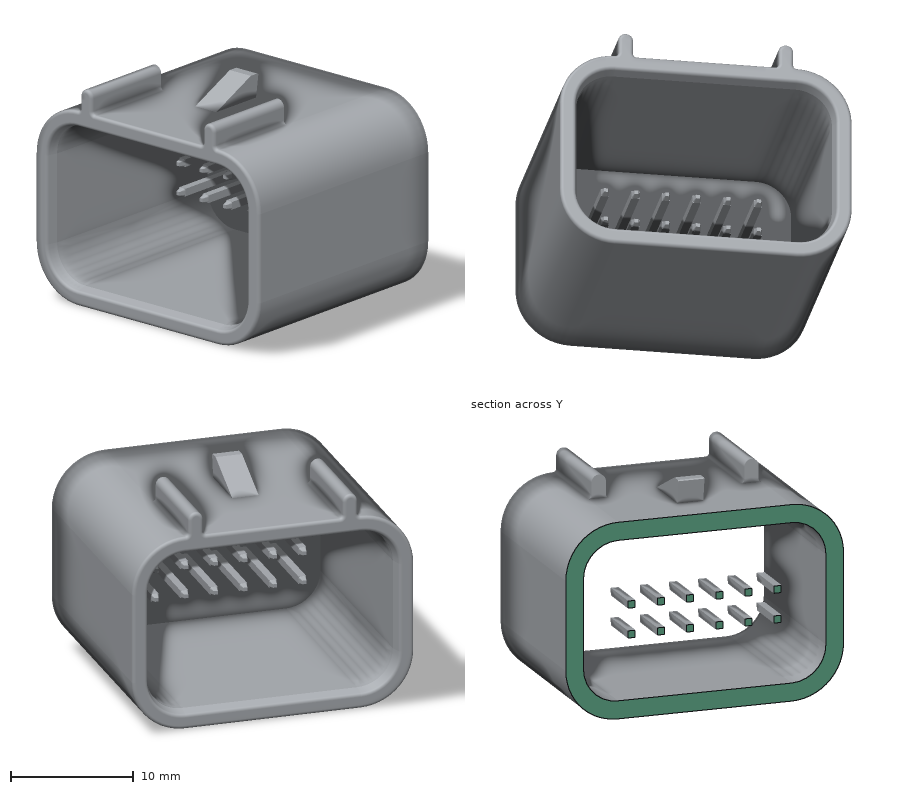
import cadquery as cq
import math


WIDTH = 24.08
DEPTH = 21.0
HEIGHT = 16.69
CORNER_RADIUS = 4.53
EDGE_RADIUS = 0.3

WALL = 1.5
LEAD_IN_DEPTH = 0.99
LEAD_IN_ANGLE = 15.5
CAVITY_DRAFT = 0.3
FLOOR_THICKNESS = WALL

TOP_FEATURE_HEIGHT = 2.02

RIB_WIDTH = 1.23
RIB_LENGTH = 8.65

LATCH_WIDTH = 2.26
LATCH_RAMP_START = 7.27
LATCH_RAMP_END = 11.55
LATCH_TIP = 12.5
LATCH_HEEL = 12.2
LATCH_BEVEL_LENGTH = 0.15
LATCH_BEVEL_DROP = 0.07

PIN_COLUMNS = 6
PIN_ROWS = 2
PIN_PITCH = 2.53
PIN_SIZE = 0.65
PIN_LENGTH = 8.43
PIN_TIP_INSET = 0.17
PIN_TIP_ANGLE = 16.7

TOP = HEIGHT / 2
RIB_X = WIDTH / 2 - CORNER_RADIUS - EDGE_RADIUS - RIB_WIDTH / 2
CAVITY_DEPTH = DEPTH - FLOOR_THICKNESS
OVERLAP = 0.25


def plane_at(y):
    """XZ plane at depth y, extruding toward +Y; local x is -X, local y is Z."""
    return cq.Workplane(cq.Plane(origin=(0, y, 0), xDir=(-1, 0, 0), normal=(0, 1, 0)))


def rounded_prism(y, inset, length, taper=0.0):
    """Block running back from y, its outline the shell's moved inward by inset."""
    outline = cq.Sketch().rect(WIDTH - 2 * inset, HEIGHT - 2 * inset)
    outline = outline.vertices().fillet(CORNER_RADIUS - inset)
    return plane_at(y).placeSketch(outline).extrude(length, taper=taper)


def guide_rib(x):
    """Round-topped rib with filleted roots blending into the flat top."""
    half = RIB_WIDTH / 2
    foot = half + EDGE_RADIUS
    root = TOP + EDGE_RADIUS
    shoulder = TOP + TOP_FEATURE_HEIGHT - half
    blend = EDGE_RADIUS * (1 - math.sqrt(0.5))
    profile = (
        plane_at(0)
        .center(-x, 0)
        .moveTo(-foot, TOP - OVERLAP)
        .lineTo(-foot, TOP)
        .threePointArc((-half - blend, TOP + blend), (-half, root))
        .lineTo(-half, shoulder)
        .threePointArc((0, shoulder + half), (half, shoulder))
        .lineTo(half, root)
        .threePointArc((half + blend, TOP + blend), (foot, TOP))
        .lineTo(foot, TOP - OVERLAP)
        .close()
    )
    return profile.extrude(RIB_LENGTH)


def latch():
    """Ramp rising away from the mouth to a flat crest with a bevelled tip and an undercut back."""
    crest = TOP + TOP_FEATURE_HEIGHT
    side = [
        (LATCH_RAMP_START, TOP - OVERLAP),
        (LATCH_RAMP_START, TOP),
        (LATCH_RAMP_END, crest),
        (LATCH_TIP - LATCH_BEVEL_LENGTH, crest),
        (LATCH_TIP, crest - LATCH_BEVEL_DROP),
        (LATCH_HEEL, TOP),
        (LATCH_HEEL, TOP - OVERLAP),
    ]
    return cq.Workplane("YZ").polyline(side).close().extrude(LATCH_WIDTH / 2, both=True)


def cavity():
    """Tapered lead-in followed by a slightly drafted well."""
    flare = LEAD_IN_DEPTH * math.tan(math.radians(LEAD_IN_ANGLE))
    lead_in = rounded_prism(0, WALL - flare, LEAD_IN_DEPTH, LEAD_IN_ANGLE)
    well = rounded_prism(LEAD_IN_DEPTH, WALL, CAVITY_DEPTH - LEAD_IN_DEPTH, CAVITY_DRAFT)
    return lead_in.union(well)


def contact_pins():
    """Grid of square pins standing on the cavity floor, each with a tapered tip."""
    tip_length = PIN_TIP_INSET / math.tan(math.radians(PIN_TIP_ANGLE))
    tip_size = PIN_SIZE - 2 * PIN_TIP_INSET
    tip_y = CAVITY_DEPTH - PIN_LENGTH
    shank_length = PIN_LENGTH - tip_length + OVERLAP
    pins = plane_at(tip_y + tip_length).rarray(PIN_PITCH, PIN_PITCH, PIN_COLUMNS, PIN_ROWS)
    shanks = pins.rect(PIN_SIZE, PIN_SIZE).extrude(shank_length)
    ends = plane_at(tip_y).rarray(PIN_PITCH, PIN_PITCH, PIN_COLUMNS, PIN_ROWS)
    tips = ends.rect(tip_size, tip_size).extrude(tip_length, taper=-PIN_TIP_ANGLE)
    return shanks.union(tips)


housing = rounded_prism(0, 0, DEPTH)
for rib_x in (-RIB_X, RIB_X):
    housing = housing.union(guide_rib(rib_x))
housing = housing.cut(cavity())

housing = housing.faces("<Y").edges().fillet(EDGE_RADIUS)

result = housing.union(latch()).union(contact_pins())